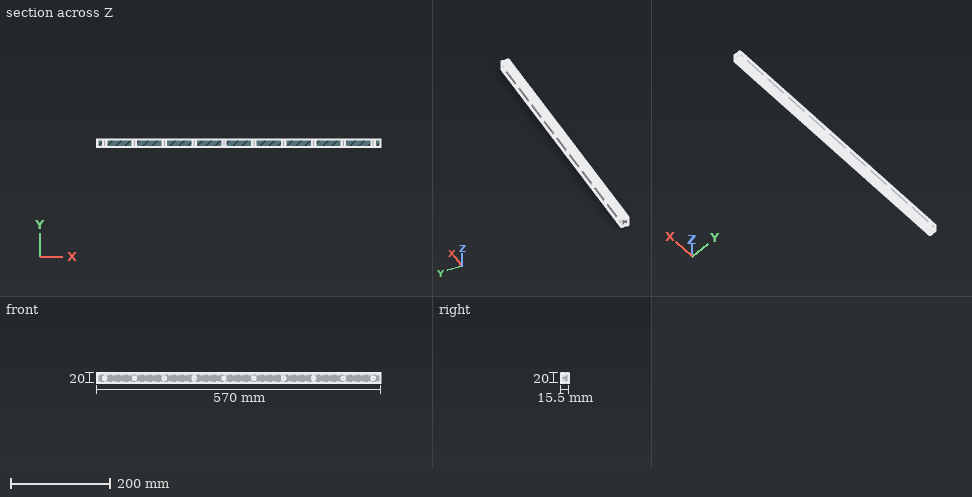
import cadquery as cq

rail_length = 570.0
rail_height = 15.5
rail_width = 20.0

base_bevel_height = 1.2
base_bevel_inset = 0.6
head_bevel_height = 1.5
head_bevel_inset = 0.4

base_thickness = 5.6
head_thickness = 3.8
slot_width = 1.4
slot_depth = 3.3
slope_depth = 2.85

hole_count = 10
hole_pitch = 60.0
hole_diameter = 6.0


def flank_points():
    """Outline of the +Z flank as (y, z) points, from the base up to the head."""
    flank = rail_width / 2
    slot_end = base_thickness + slot_width
    return [
        (0, flank - base_bevel_inset),
        (base_bevel_height, flank),
        (base_thickness, flank),
        (base_thickness, flank - slot_depth),
        (slot_end, flank - slot_depth),
        (slot_end, flank - slope_depth),
        (rail_height - head_thickness, flank),
        (rail_height - head_bevel_height, flank),
        (rail_height, flank - head_bevel_inset),
    ]


def make_rail():
    """Extrude the grooved cross-section along X, centred on X = 0."""
    upper = flank_points()
    lower = [(y, -z) for y, z in reversed(upper)]
    profile = cq.Workplane("YZ").polyline(upper + lower).close()
    return profile.extrude(rail_length / 2, both=True)


def make_mounting_holes():
    """Row of cylinders along Y, one for each mounting hole, spanning the rail height."""
    return (
        cq.Workplane("XZ")
        .rarray(hole_pitch, 1, hole_count, 1)
        .circle(hole_diameter / 2)
        .extrude(-rail_height)
    )


result = make_rail().cut(make_mounting_holes())